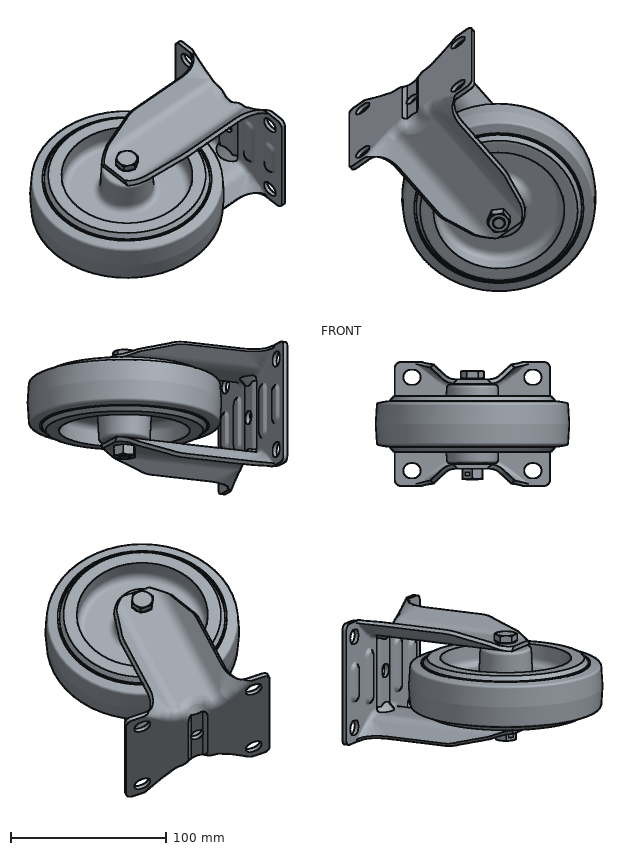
import cadquery as cq
import math


tyre_radius = 62.5
tyre_edge_radius = 61.7
tyre_edge_height = 11.8
tyre_side_radius = 59.8
tyre_side_height = 13.8
tyre_corner_bulge = (1.4, 1.4)
tyre_lip_radius = 54.5
tyre_lip_height = 14.7
rim_radius = 53.3
rim_step_height = 15.0
rim_flat_radius = 49.0
rim_chamfer_radius = 50.7
rim_chamfer_height = 18.0
rim_height = 18.1
rim_bore_radius = 42.1
rim_bore_draft = 0.6
web_height = 4.3
rim_fillet = 5.0
hub_fillet = 4.6
hub_base_radius = 17.5
hub_radius = 16.4
hub_height = 25.3
hub_round = 2.0

sheet = 3.0
fork_gap = 51.9
plate_back = 154.9 - tyre_radius
plate_length = 100.1
plate_height = 80.0
plate_corner = 4.2
arm_flat_half_width = 11.2
flange_angle = 43
flange_bend_radius = 9.5
flange_width = 10.2
arm_end = -11.0
arm_taper_start = 30.5
arm_flare_start = 72.0
flare_width = 8.7
bend_radius = 3.3
flare_bend_length = 17
flare_bend_depth = 4.0

arm_tip = (-7.6, arm_end)
arm_tip_bulge = (-3.3, -5.3)
arm_taper_low = (1.0, 1.2)
arm_taper_high = (7.9, 20.9)
arm_taper_bulge = (9.6, 25.5)

slot_length = 11.0
slot_width = 9.6
slot_x = 38.9
slot_z = 30.0
centre_hole_diameter = 8.8

bead_base_width = 10.5
bead_rise = 1.9
bead_taper = 47
bead_round = 1.0
inner_bead_x = 19.5
inner_bead_length = 37.2
outer_bead_x = 39.0
outer_bead_length = 26.6

rib_depth = 1.7
rib_front_half_width = 8.8
rib_front_top_half_width = 5.7
rib_back_half_width = 6.7
rib_back_floor_half_width = 4.0
gusset_hollow_radius = 10.8
gusset_line = 84.0
gusset_rim_round = 7.7

bolt_diameter = 8.0
sleeve_diameter = 15.2
hex_width = 13.0
washer_face_height = 0.6
bolt_head_height = 5.3
hex_bevel_angle = 30
nut_height = 6.5
bolt_tip_length = 0.5
nut_mark_length = 3.4
nut_mark_height = 2.3
nut_mark_depth = 0.3
nut_mark_direction = 240

ellipse_handle = 0.5523

plate_front = plate_back - sheet
arm_inner = fork_gap / 2
arm_outer = arm_inner + sheet
angle = math.radians(flange_angle)
bend_axis_z = arm_outer + flange_bend_radius
flange_x = arm_flat_half_width + flange_bend_radius * math.sin(angle)
flange_z = bend_axis_z - flange_bend_radius * math.cos(angle)
along_flange = cq.Vector(math.cos(angle), 0, math.sin(angle))
out_of_flange = cq.Vector(-math.sin(angle), 0, math.cos(angle))
flange_start = cq.Vector(flange_x, 0, flange_z)
flange_loft_width = flange_width + 1.5 * flare_width
loft_ratio = flange_loft_width / flange_width
wide_bend_length = bend_radius + (flare_bend_length - bend_radius) * loft_ratio
wide_bend_depth = bend_radius + (flare_bend_depth - bend_radius) * loft_ratio


def turned(points):
    """Solid of revolution about the axle from (radius, height) points."""
    return cq.Workplane("XZ").polyline(points).close().revolve(360, (0, 0), (0, 1))


def make_tyre():
    """Crowned tyre around the rim, with rounded outer corners and sloping sides."""
    corner_radius = tyre_side_radius + tyre_corner_bulge[0]
    corner_height = tyre_edge_height + tyre_corner_bulge[1]
    return (
        cq.Workplane("XZ")
        .moveTo(rim_radius, tyre_side_height)
        .lineTo(tyre_lip_radius, tyre_lip_height)
        .lineTo(tyre_side_radius, tyre_side_height)
        .threePointArc((corner_radius, corner_height), (tyre_edge_radius, tyre_edge_height))
        .lineTo(tyre_radius, 0)
        .lineTo(tyre_edge_radius, -tyre_edge_height)
        .threePointArc((corner_radius, -corner_height), (tyre_side_radius, -tyre_side_height))
        .lineTo(tyre_lip_radius, -tyre_lip_height)
        .lineTo(rim_radius, -tyre_side_height)
        .close()
        .revolve(360, (0, 0), (0, 1))
    )


def make_wheel():
    """Rim, web and hub in one piece, bored for the sleeve."""
    bore = sleeve_diameter / 2
    upper = [
        (bore, hub_height),
        (hub_radius, hub_height),
        (hub_base_radius, web_height),
        (rim_bore_radius - rim_bore_draft, web_height),
        (rim_bore_radius, rim_height),
        (rim_flat_radius, rim_height),
        (rim_chamfer_radius, rim_chamfer_height),
        (rim_radius, rim_step_height),
    ]
    lower = [(r, -z) for r, z in reversed(upper)]
    wheel = turned(upper + lower)

    def ring_edges(radius, height):
        """The two circular edges of this radius, one on each side of the wheel."""
        tolerance = 0.02
        return [
            edge
            for edge in wheel.edges("%CIRCLE").vals()
            if abs(edge.radius() - radius) < tolerance and abs(abs(edge.Center().z) - height) < tolerance
        ]

    for radius, height, fillet in (
        (hub_base_radius, web_height, hub_fillet),
        (rim_bore_radius - rim_bore_draft, web_height, rim_fillet),
        (hub_radius, hub_height, hub_round),
    ):
        wheel = wheel.newObject(ring_edges(radius, height)).fillet(fillet)
    return wheel


def flared_strip(plane, length, depth):
    """Wire of the sheet bent from arm to plate, with a quarter-ellipse bend.

    The plane's x axis runs along +Y, its y axis away from the outer face of the arm.
    length and depth are the reach of the inside of the bend along the arm and the plate.
    """
    k = ellipse_handle
    long_reach = length + sheet
    deep_reach = depth + sheet
    start = plate_back - long_reach
    tail = deep_reach + sheet / 2
    return (
        cq.Workplane(plane)
        .moveTo(arm_end, 0)
        .lineTo(start, 0)
        .bezier(
            [
                (start, 0),
                (start + k * long_reach, 0),
                (plate_back, (1 - k) * deep_reach),
                (plate_back, deep_reach),
            ]
        )
        .lineTo(plate_back, tail)
        .lineTo(plate_front, tail)
        .lineTo(plate_front, deep_reach)
        .bezier(
            [
                (plate_front, deep_reach),
                (plate_front, deep_reach - k * depth),
                (start + k * length, sheet),
                (start, sheet),
            ]
        )
        .lineTo(arm_end, sheet)
        .close()
    )


def round_strip(plane):
    """Wire of the same sheet with its plain bend, round and of the smallest radius."""
    reach = bend_radius + sheet
    start = plate_back - reach
    tail = reach + sheet / 2
    diagonal = math.sqrt(0.5)
    return (
        cq.Workplane(plane)
        .moveTo(arm_end, 0)
        .lineTo(start, 0)
        .threePointArc((start + reach * diagonal, reach - reach * diagonal), (plate_back, reach))
        .lineTo(plate_back, tail)
        .lineTo(plate_front, tail)
        .lineTo(plate_front, reach)
        .threePointArc((start + bend_radius * diagonal, reach - bend_radius * diagonal), (start, sheet))
        .lineTo(arm_end, sheet)
        .close()
    )


def flange_plane(distance):
    """Plane across the flange, at a distance from the start of its flat."""
    origin = flange_start + along_flange * distance
    return cq.Plane(origin, (0, 1, 0), along_flange * -1)


def make_flange_trim():
    """Waste beyond the flange edge: tapered towards the axle, flared towards the plate."""
    k = ellipse_handle
    far = 3 * flange_width
    tool_depth = 7.7
    flare_length = plate_front - arm_flare_start
    return (
        cq.Workplane(cq.Plane(flange_start, along_flange, out_of_flange))
        .workplane(offset=-tool_depth)
        .moveTo(*arm_tip)
        .threePointArc(arm_tip_bulge, arm_taper_low)
        .lineTo(*arm_taper_high)
        .threePointArc(arm_taper_bulge, (flange_width, arm_taper_start))
        .lineTo(flange_width, arm_flare_start)
        .bezier(
            [
                (flange_width, arm_flare_start),
                (flange_width, arm_flare_start + k * flare_length),
                (flange_width + (1 - k) * flare_width, plate_front),
                (flange_width + flare_width, plate_front),
            ]
        )
        .lineTo(far, plate_front)
        .lineTo(far, 2 * arm_end)
        .lineTo(arm_tip[0], 2 * arm_end)
        .close()
        .extrude(2 * tool_depth)
    )


def make_arm_half():
    """Upper arm on the +X side: flat, bend and flange, each running into the plate."""

    def strip_at(x):
        return round_strip(cq.Plane((x, 0, arm_outer), (0, 1, 0), (-1, 0, 0)))

    flat = strip_at(0).extrude(-arm_flat_half_width)
    bend = strip_at(arm_flat_half_width).revolve(
        flange_angle, (1.5, -flange_bend_radius), (0, -flange_bend_radius)
    )
    near = round_strip(flange_plane(0)).wires().val()
    far = flared_strip(flange_plane(flange_loft_width), wide_bend_length, wide_bend_depth).wires().val()
    flange = cq.Workplane(cq.Solid.makeLoft([near, far], True))
    return flat.union(bend).union(flange).cut(make_flange_trim())


def make_plate_notch():
    """Opening in the top edge of the plate that the bent root of the arm fills."""
    reach = bend_radius + sheet
    floor_z = arm_outer - reach
    arc_radius = flange_bend_radius + reach

    def on_arc(turn):
        return (
            arm_flat_half_width + arc_radius * math.sin(turn),
            bend_axis_z - arc_radius * math.cos(turn),
        )

    end = flange_start + along_flange * flange_loft_width - out_of_flange * (wide_bend_depth + sheet)
    return (
        cq.Workplane("XZ")
        .moveTo(0, floor_z)
        .lineTo(arm_flat_half_width, floor_z)
        .threePointArc(on_arc(angle / 2), on_arc(angle))
        .lineTo(end.x, end.z)
        .lineTo(0, end.z)
        .close()
        .extrude(-2 * plate_back)
    )


def both_x(shape):
    return shape.union(shape.mirror("YZ"))


def both_z(shape):
    return shape.union(shape.mirror("XY"))


def plate_plane(y):
    """Plane parallel to the plate whose normal points towards the wheel."""
    return cq.Plane((0, y, 0), (1, 0, 0), (0, -1, 0))


def make_gusset(radius):
    """Round bar lying at 45 degrees across the upper bend between plate and arm."""
    axis_y = gusset_line + gusset_hollow_radius * math.sqrt(2)
    plane = cq.Plane((0, axis_y, arm_outer), (1, 0, 0), (0, 1, -1))
    return cq.Workplane(plane).circle(radius).extrude(6 * bend_radius, both=True)


def make_rib(half_base, half_top, y, length):
    """Trapezoidal rib along Z that rises from the plane at y towards the wheel."""
    section = [(-half_base, y), (-half_top, y - rib_depth), (half_top, y - rib_depth), (half_base, y)]
    return cq.Workplane("XY").polyline(section).close().extrude(length / 2, both=True)


def make_beads():
    """Upright beads pressed out of the plate, two on each side."""
    beads = cq.Workplane()
    for x, length in ((inner_bead_x, inner_bead_length), (outer_bead_x, outer_bead_length)):
        beads = beads.union(
            cq.Workplane(plate_plane(plate_front))
            .center(x, 0)
            .slot2D(length, bead_base_width, 90)
            .extrude(bead_rise, taper=bead_taper)
            .faces("<Y")
            .edges()
            .fillet(bead_round)
        )
    return both_x(beads)


def round_bead_feet(fork):
    """Fillet the beads where they rise from the front face of the plate."""
    margin = 0.2
    zone_start = inner_bead_x - bead_base_width / 2 - margin
    zone_end = outer_bead_x + bead_base_width / 2 + margin
    zone_height = inner_bead_length / 2 + margin
    for side in (1, -1):
        zone = cq.selectors.BoxSelector(
            (side * zone_start, plate_front - margin, -zone_height),
            (side * zone_end, plate_front + margin, zone_height),
        )
        fork = fork.edges(zone).fillet(bead_round)
    return fork


def round_hollow_rim(half):
    """Soften the rim of the gusset hollow where it runs out over the bend and the arm."""
    margin = 0.2
    zone = cq.selectors.BoxSelector(
        (-gusset_hollow_radius, arm_flare_start, arm_inner + margin),
        (gusset_hollow_radius, plate_back - sheet / 2, arm_outer + sheet),
    )
    hollow_half_width = arm_flat_half_width - 1.5
    rim = [
        edge
        for edge in half.edges(zone).vals()
        if edge.geomType() in ("ELLIPSE", "BSPLINE") and abs(edge.Center().x) < hollow_half_width
    ]
    return half.newObject(rim).fillet(gusset_rim_round)


def make_fork_half():
    """Upper half of the bent sheet: half the plate, one arm and its gusset."""
    envelope = (
        cq.Workplane("XY")
        .rect(plate_length, 4 * plate_back)
        .extrude(plate_height / 2)
    )
    plate = (
        cq.Workplane(plate_plane(plate_back))
        .rect(plate_length, plate_height)
        .extrude(sheet)
        .edges("|Y")
        .fillet(plate_corner)
        .cut(both_x(make_plate_notch()))
    )
    half = plate.union(both_x(make_arm_half())).intersect(envelope)

    reach = bend_radius + sheet
    inset = reach * (1 - math.sqrt(0.5))
    under_bend = (
        cq.Workplane("YZ")
        .moveTo(plate_back, 0)
        .lineTo(plate_back, arm_outer - reach)
        .threePointArc((plate_back - inset, arm_outer - inset), (plate_back - reach, arm_outer))
        .lineTo(plate_back - 3 * reach, arm_outer)
        .close()
        .extrude(arm_flat_half_width, both=True)
    )
    half = half.union(make_gusset(gusset_hollow_radius + sheet).intersect(under_bend))
    return round_hollow_rim(half.cut(make_gusset(gusset_hollow_radius)))


def make_fork():
    """Mounting plate and both arms, one piece of bent sheet."""
    fork = both_z(make_fork_half())

    rib_length = 2 * (arm_inner - bend_radius)
    rib = make_rib(rib_front_half_width, rib_front_top_half_width, plate_front, rib_length)
    groove = make_rib(rib_back_half_width, rib_back_floor_half_width, plate_back, rib_length)
    rounded_rib = rib.faces("<Y").edges("|Z").fillet(bead_round)
    fork = fork.union(rounded_rib).cut(groove)

    fork = round_bead_feet(fork.union(make_beads()))

    slots = (
        cq.Workplane(plate_plane(plate_back))
        .rect(2 * slot_x, 2 * slot_z, forConstruction=True)
        .vertices()
        .slot2D(slot_length, slot_width)
        .extrude(2 * sheet)
    )
    centre_hole = cq.Workplane(plate_plane(plate_back)).circle(centre_hole_diameter / 2).extrude(3 * sheet)
    axle_hole = cq.Workplane("XY").circle(bolt_diameter / 2).extrude(plate_height, both=True)
    return fork.cut(slots).cut(centre_hole).cut(axle_hole)


def make_sleeve():
    """Axle tube between the arms, around the bolt."""
    return (
        cq.Workplane("XY")
        .circle(sleeve_diameter / 2)
        .circle(bolt_diameter / 2)
        .extrude(fork_gap / 2, both=True)
    )


def hexagon(height, base_z, turn):
    """Hexagonal prism, its corners bevelled by a cone on the upper end."""
    corner_radius = hex_width / math.sqrt(3)
    prism = (
        cq.Workplane("XY", origin=(0, 0, base_z))
        .transformed(rotate=(0, 0, turn))
        .polygon(6, 2 * corner_radius)
        .extrude(height)
    )
    bevel = (corner_radius - hex_width / 2) * math.tan(math.radians(hex_bevel_angle))
    top = base_z + height
    cone = turned(
        [
            (0, base_z),
            (corner_radius, base_z),
            (corner_radius, top - bevel),
            (hex_width / 2, top),
            (0, top),
        ]
    )
    return prism.intersect(cone)


def make_bolt():
    """Hexagon bolt, head on the upper arm and tip just beyond the nut."""
    shank_length = 2 * arm_outer + nut_height + bolt_tip_length
    washer_face = cq.Workplane("XY", origin=(0, 0, arm_outer)).circle(hex_width / 2).extrude(washer_face_height)
    head = hexagon(bolt_head_height - washer_face_height, arm_outer + washer_face_height, 0)
    shank = cq.Workplane("XY", origin=(0, 0, arm_outer)).circle(bolt_diameter / 2).extrude(-shank_length)
    shank = shank.faces("<Z").chamfer(bolt_tip_length)
    return head.union(washer_face).union(shank)


def make_nut():
    """Hexagon nut under the lower arm, with a shallow rectangular mark on one flat."""
    nut = hexagon(nut_height, arm_outer, 30).mirror("XY")
    bore = cq.Workplane("XY").circle(bolt_diameter / 2).extrude(-plate_height)
    facing = math.radians(nut_mark_direction)
    normal = cq.Vector(math.cos(facing), math.sin(facing), 0)
    flat = normal * (hex_width / 2) + cq.Vector(0, 0, -arm_outer - nut_height / 2)
    mark = (
        cq.Workplane(cq.Plane(flat, (normal.y, -normal.x, 0), normal))
        .rect(nut_mark_length, nut_mark_height)
        .extrude(-nut_mark_depth)
    )
    return nut.cut(bore).cut(mark)


fork = make_fork()
tyre = make_tyre()
wheel = make_wheel()
sleeve = make_sleeve()
bolt = make_bolt()
nut = make_nut()

bodies = (fork, tyre, wheel, sleeve, bolt, nut)
result = cq.Compound.makeCompound([body.solids().val() for body in bodies])